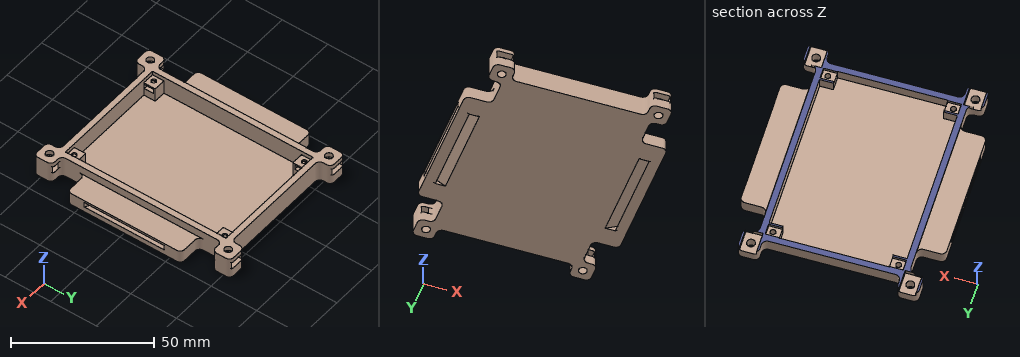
import math

import cadquery as cq

LENGTH_X = 75.2
LENGTH_Y = 86.4
HEIGHT = 9.0

CAVITY_X = 50.2
CAVITY_Y = 70.4
WALL = 2.5
FLOOR = 1.2
FRAME_X = CAVITY_X + 2 * WALL
FRAME_Y = CAVITY_Y + 2 * WALL

EAR = (LENGTH_Y - CAVITY_Y) / 2
EAR_X = CAVITY_X / 2 + EAR / 2
EAR_Y = CAVITY_Y / 2 + EAR / 2
EAR_HOLE = 3.0
EAR_SLOT_WIDTH = 6.1
EAR_SLOT_BOTTOM = 4.1
EAR_SLOT_HEIGHT = 2.9

TAB_Y = 50.1
TAB_HEIGHT = 5.5
TAB_SLOT_LENGTH = 35.1
TAB_SLOT_BOTTOM = 2.4
TAB_SLOT_HEIGHT = 2.2
TAB_SLOT_ANGLE = 30.0

ROUND = 2.0

POST = 5.0
POST_TOP = 7.3
POST_HOLE = 2.0
POST_HOLE_INSET = 2.2
POST_SLOT_WIDTH = 4.0
POST_SLOT_BOTTOM = 4.6
POST_SLOT_HEIGHT = 2.0

SIGNS = (-1, 1)
CORNERS = [(sx, sy) for sx in SIGNS for sy in SIGNS]


def block(size_x, size_y, height, x=0.0, y=0.0, bottom=0.0):
    """Box centred on (x, y) with its underside at the given height."""
    box = cq.Workplane("XY").box(size_x, size_y, height, centered=(True, True, False))
    return box.translate((x, y, bottom))


def vertical_hole(diameter, x, y, bottom):
    """Cutter for a vertical hole from the given height up to the top of the part."""
    return cq.Workplane("XY", origin=(x, y, bottom)).circle(diameter / 2).extrude(HEIGHT - bottom)


def body():
    """Frame, ears and tabs as one solid block with rounded upright edges."""
    frame = block(FRAME_X, FRAME_Y, HEIGHT)
    for sx, sy in CORNERS:
        frame = frame.union(block(EAR, EAR, HEIGHT, sx * EAR_X, sy * EAR_Y))
    frame = frame.union(block(LENGTH_X, TAB_Y, TAB_HEIGHT))
    return frame.edges("|Z").fillet(ROUND)


def post(sx, sy):
    """Inside corner post with its pilot hole and the nut slot open towards the middle."""
    centre_x = sx * (CAVITY_X - POST) / 2
    centre_y = sy * (CAVITY_Y - POST) / 2
    hole_x = sx * (CAVITY_X / 2 - POST_HOLE_INSET)
    hole_y = sy * (CAVITY_Y / 2 - POST_HOLE_INSET)
    solid = block(POST, POST, POST_TOP - FLOOR, centre_x, centre_y, FLOOR)
    slot = block(POST, POST_SLOT_WIDTH, POST_SLOT_HEIGHT, centre_x, hole_y, POST_SLOT_BOTTOM)
    return solid.cut(vertical_hole(POST_HOLE, hole_x, hole_y, FLOOR)).cut(slot)


def strap_slot(side):
    """Cutter that enters a tab end face and slopes down through the underside."""
    mouth_x = side * LENGTH_X / 2
    top = TAB_SLOT_BOTTOM + TAB_SLOT_HEIGHT
    inward = -side / math.tan(math.radians(TAB_SLOT_ANGLE))
    profile = [
        (mouth_x, TAB_SLOT_BOTTOM),
        (mouth_x, top),
        (mouth_x + inward * top, 0),
        (mouth_x + inward * TAB_SLOT_BOTTOM, 0),
    ]
    return cq.Workplane("XZ").polyline(profile).close().extrude(TAB_SLOT_LENGTH / 2, both=True)


def ear_cuts(sx, sy):
    """Cutter for the through hole of an ear and its horizontal nut slot."""
    x = sx * EAR_X
    y = sy * EAR_Y
    slot = block(EAR_SLOT_WIDTH, EAR, EAR_SLOT_HEIGHT, x, y, EAR_SLOT_BOTTOM)
    return vertical_hole(EAR_HOLE, x, y, 0).union(slot)


result = body().cut(block(CAVITY_X, CAVITY_Y, HEIGHT, bottom=FLOOR))

for sx, sy in CORNERS:
    result = result.cut(ear_cuts(sx, sy))
    result = result.union(post(sx, sy))

for side in SIGNS:
    result = result.cut(strap_slot(side))